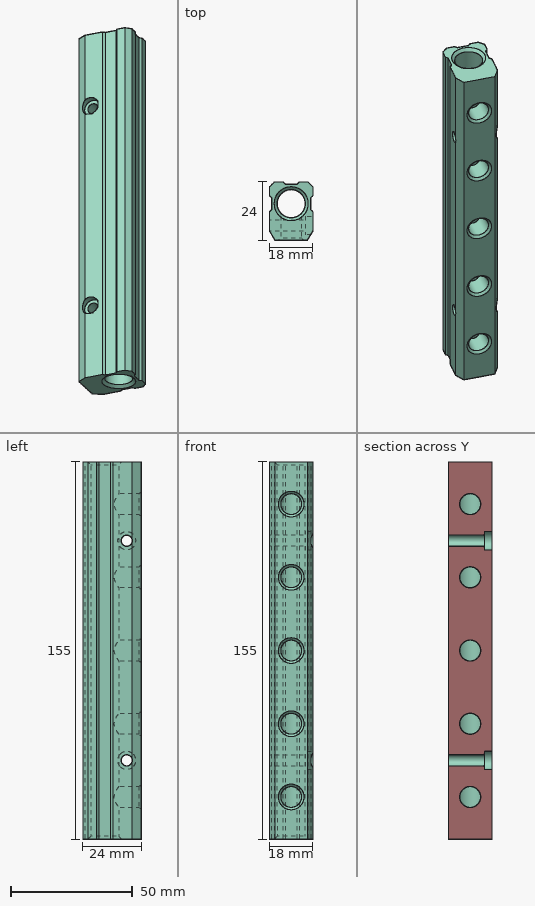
import cadquery as cq

width = 18.0
depth = 24.0
length = 155.0
half_width = width / 2
front = -depth / 2
back = depth / 2

back_bevel = 2.2
front_bevel_x = 2.3
front_bevel_y = 3.9

groove_mouth = 6.7
groove_depth = 1.0

bore_y = back - half_width
bore_diameter = 11.5
bore_mouth = 14.0

port_count = 5
port_pitch = 30.0
port_diameter = 8.5
port_mouth = 10.5

mount_diameter = 4.5
mount_head_diameter = 7.5
mount_head_depth = 3.1
mount_y = front + 6.0
mount_spacing = 3 * port_pitch


def centred_row(count, pitch):
    """Z positions of evenly spaced features centred along the bar."""
    return [length / 2 + (i - (count - 1) / 2) * pitch for i in range(count)]


def make_bar():
    bar = cq.Workplane("XY").rect(width, depth).extrude(length)
    bar = bar.edges("|Z and >Y").chamfer(back_bevel)
    bevel = (
        cq.Workplane("XY")
        .moveTo(half_width, front)
        .lineTo(half_width - front_bevel_x, front)
        .lineTo(half_width, front + front_bevel_y)
        .close()
        .extrude(length)
    )
    return bar.cut(bevel).cut(bevel.mirror("YZ"))


def make_groove(angle):
    """Groove on the back, turned about the bore axis by the given angle."""
    half_mouth = groove_mouth / 2
    half_floor = half_mouth - groove_depth
    floor = back - groove_depth
    return (
        cq.Workplane("XY")
        .polyline([(-half_mouth, back), (half_mouth, back), (half_floor, floor), (-half_floor, floor)])
        .close()
        .extrude(length)
        .rotate((0, bore_y, 0), (0, bore_y, 1), angle)
    )


def countersunk_hole(diameter, mouth, hole_depth, start, direction):
    """Hole with a 45-degree countersink, cut from start along direction."""
    start = cq.Vector(*start)
    direction = cq.Vector(*direction)
    sink_depth = (mouth - diameter) / 2
    hole = cq.Solid.makeCylinder(diameter / 2, hole_depth, start, direction)
    sink = cq.Solid.makeCone(mouth / 2, diameter / 2, sink_depth, start, direction)
    return hole.fuse(sink)


result = make_bar()

for angle in (-90, 0, 90):
    result = result.cut(make_groove(angle))

for end_z, direction_z in ((0, 1), (length, -1)):
    bore = countersunk_hole(bore_diameter, bore_mouth, length, (0, bore_y, end_z), (0, 0, direction_z))
    result = result.cut(cq.Workplane(bore))

for z in centred_row(port_count, port_pitch):
    port = countersunk_hole(port_diameter, port_mouth, bore_y - front, (0, front, z), (0, 1, 0))
    result = result.cut(cq.Workplane(port))

for z in centred_row(2, mount_spacing):
    start = cq.Vector(-half_width, mount_y, z)
    mount_hole = cq.Solid.makeCylinder(mount_diameter / 2, width, start, cq.Vector(1, 0, 0))
    result = result.cut(cq.Workplane(mount_hole))
    head_start = cq.Vector(half_width, mount_y, z)
    head_recess = cq.Solid.makeCylinder(
        mount_head_diameter / 2, mount_head_depth, head_start, cq.Vector(-1, 0, 0)
    )
    result = result.cut(cq.Workplane(head_recess))